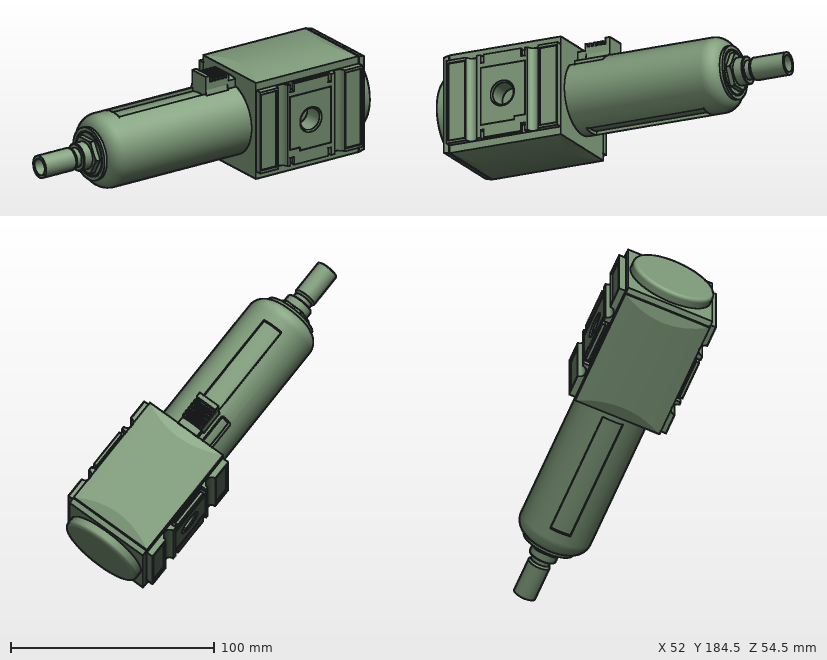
import cadquery as cq
import math


overall_length = 184.5
overall_width = 52.0
overall_height = 54.5

head_length = 61.8
head_width = 45.2
head_side_height = 51.0
crown_height = 54.0
bevel_length = 6.3
plate_thickness = 3.3
cap_diameter = 43.0
cap_length = 5.2
cap_round = 1.8
seam_width = 0.4
seam_depth = 0.2

rail_height = 43.0
rail_front_setback = 0.2
rail_groove_radius = 3.0
rail_groove_places = (13.8, 48.0)
rail_pocket_length = 9.2
rail_pocket_height = 40.2
rail_pocket_depth = 1.0
rail_pocket_margin = 1.0

panel_front = 18.3
panel_back = 42.8
panel_height = 29.7
panel_depth = 0.4
panel_notch_length = 5.9
panel_notch_height = 1.7
clip_depth = 4.0
front_clip_slot_width = 2.2
back_clip_slot_width = 1.7
clip_tab_thickness = 1.7
clip_floor_skin = 0.2
port_diameter = 11.5
port_mouth_diameter = 13.1
port_depth = 11.0

bowl_diameter = 37.8
bowl_length = 83.5
bowl_round = 8.0
collar_diameter = 27.0
collar_end = 84.7
gap_outer_diameter = 23.0
gap_inner_diameter = 22.0
gap_depth = 1.0

recess_depth = 1.8
window_width = 10.7
window_end = 70.1
lower_window_start = 5.4
slot_inner_side = 8.1
slot_length = 18.5
slot_depth = 2.4
slot_corner_radius = 0.7
slot_outer_angle = 45.4

latch_width = 11.6
latch_gap = 0.5
latch_step = 4.6
latch_end = 18.5
latch_root_height = 16.6
latch_step_radius = 23.0
latch_tooth_height = 25.8
latch_floor_radius = 24.9
latch_top = overall_height - crown_height / 2
stop_thickness = 2.5
tooth_count = 5
tooth_pitch = 2.2
tooth_thickness = 1.1
foot_width = 13.3
foot_top = 20.3
foot_bottom = 17.5
foot_start = 5.4

hex_flats = 17.0
hex_end = 87.3
hex_chamfer = 0.5
drain_collar_diameter = 14.0
drain_collar_end = 92.2
drain_collar_chamfer = 0.4
neck_diameter = 9.8
neck_end = 95.0
tube_diameter = 11.5
tube_chamfer = 0.7
tube_chamfer_length = 1.3
tube_bore_diameter = 8.5
tube_end = overall_length - head_length - plate_thickness - cap_length


def box(x_range, y_range, z_range):
    """Box between the given limits."""
    size = [high - low for low, high in (x_range, y_range, z_range)]
    corner = cq.Vector(x_range[0], y_range[0], z_range[0])
    return cq.Workplane(cq.Solid.makeBox(*size, corner))


def rod(diameter, y_start, y_end):
    """Cylinder on the main axis, from y_start to the larger y_end."""
    start = cq.Vector(0, y_start, 0)
    return cq.Workplane(cq.Solid.makeCylinder(diameter / 2, y_end - y_start, start, cq.Vector(0, 1, 0)))


def mirrored_x(shape):
    """The shape together with its mirror image on the other side of the YZ plane."""
    return shape.union(shape.mirror("YZ"))



def crowned_block():
    """Head and back plate: arched top and bottom, bevelled towards both ends."""
    half_width = head_width / 2
    half_side = head_side_height / 2
    half_crown = crown_height / 2
    block_end = head_length + plate_thickness
    arched = (
        cq.Workplane("XZ")
        .moveTo(-half_width, -half_side)
        .threePointArc((0, -half_crown), (half_width, -half_side))
        .lineTo(half_width, half_side)
        .threePointArc((0, half_crown), (-half_width, half_side))
        .close()
        .extrude(-block_end)
    )
    plate_drop = (half_crown - half_side) * plate_thickness / bevel_length
    half_plate = half_side - plate_drop
    bevelled = (
        cq.Workplane("YZ")
        .polyline([
            (0, -half_side),
            (bevel_length, -half_crown),
            (head_length - bevel_length, -half_crown),
            (block_end, -half_plate),
            (block_end, half_plate),
            (head_length - bevel_length, half_crown),
            (bevel_length, half_crown),
            (0, half_side),
        ])
        .close()
        .extrude(half_width, both=True)
    )
    return arched.intersect(bevelled)


def seam_groove(block):
    """Fine groove round the block where the back plate meets the head."""
    y_range = (head_length, head_length + seam_width)
    half_size = crown_height / 2
    slice_box = box((-half_size, half_size), y_range, (-half_size, half_size))
    half_core_width = head_width / 2 - seam_depth
    core = block.intersect(box((-half_core_width, half_core_width), y_range, (-half_size, half_size)))
    core = core.intersect(core.translate((0, 0, seam_depth))).intersect(core.translate((0, 0, -seam_depth)))
    return slice_box.cut(core)


def end_cap():
    """Round cap behind the back plate."""
    start = head_length + plate_thickness
    return rod(cap_diameter, start, start + cap_length).faces(">Y").edges().fillet(cap_round)


def side_rail():
    """Rail slab on the -X side with its grooves, pockets and clip cut-outs."""
    outer = -overall_width / 2
    inner = -head_width / 2
    half_height = rail_height / 2
    rail = box((outer, inner), (rail_front_setback, head_length), (-half_height, half_height))

    for place in rail_groove_places:
        groove = cq.Workplane("XY").center(outer, place).circle(rail_groove_radius)
        rail = rail.cut(groove.extrude(half_height, both=True))

    pocket_starts = (rail_pocket_margin, head_length - rail_pocket_margin - rail_pocket_length)
    for start in pocket_starts:
        rail = rail.cut(box(
            (outer, outer + rail_pocket_depth),
            (start, start + rail_pocket_length),
            (-rail_pocket_height / 2, rail_pocket_height / 2),
        ))

    clip_floor = inner - clip_floor_skin
    front_slot = (panel_front, panel_front + front_clip_slot_width)
    back_slot = (panel_back - back_clip_slot_width, panel_back)
    clip_bottom = half_height - clip_depth
    for z_range in ((clip_bottom, half_height), (-half_height, -clip_bottom)):
        rail = rail.cut(box((outer, clip_floor), front_slot, z_range))
        rail = rail.cut(box((outer, clip_floor), back_slot, z_range))
        behind_tab = (outer + clip_tab_thickness, clip_floor)
        rail = rail.cut(box(behind_tab, (front_slot[1], back_slot[0]), z_range))

    return rail.cut(port_panel(outer))


def port_panel(outer):
    """Shallow rectangular recess round the port, with one corner left standing."""
    half_height = panel_height / 2
    x_range = (outer, outer + panel_depth)
    panel = box(x_range, (panel_front, panel_back), (-half_height, half_height))
    corner = box(
        x_range,
        (panel_front, panel_front + panel_notch_length),
        (-half_height, -half_height + panel_notch_height),
    )
    return panel.cut(corner)


def side_port():
    """Blind port hole on the -X side with a countersunk mouth."""
    panel_floor = -overall_width / 2 + panel_depth
    mouth_depth = (port_mouth_diameter - port_diameter) / 2
    center = cq.Vector(panel_floor, head_length / 2, 0)
    inward = cq.Vector(1, 0, 0)
    bore = cq.Solid.makeCylinder(port_diameter / 2, port_depth, center, inward)
    mouth = cq.Solid.makeCone(port_mouth_diameter / 2, port_diameter / 2, mouth_depth, center, inward)
    return cq.Workplane(bore).union(cq.Workplane(mouth))


def make_head():
    block = crowned_block()
    return (
        block
        .cut(seam_groove(block))
        .union(end_cap())
        .union(mirrored_x(side_rail()))
        .cut(mirrored_x(side_port()))
    )



def bowl_shell():
    """Round bowl with a domed end, an end collar and a narrow ring gap in the collar."""
    shell = rod(bowl_diameter, -bowl_length, 0).faces("<Y").edges().fillet(bowl_round)
    shell = shell.union(rod(collar_diameter, -collar_end, 0))
    gap_end = gap_depth - collar_end
    gap = rod(gap_outer_diameter, -collar_end, gap_end).cut(rod(gap_inner_diameter, -collar_end, gap_end))
    return shell.cut(gap)


def window_recesses():
    """Long recesses with round floors along the top and the bottom of the bowl."""
    half = window_width / 2
    radius = bowl_diameter / 2
    upper = box((-half, half), (-window_end, -latch_end), (0, radius))
    lower = box((-half, half), (-window_end, -lower_window_start), (-radius, 0))
    core = rod(bowl_diameter - 2 * recess_depth, -window_end, 0)
    return upper.union(lower).cut(core)


def locking_slot():
    """Slot on the -X side of the latch, open towards the head, with an upright and a radial wall."""
    reach = bowl_diameter
    tilt = math.radians(slot_outer_angle)
    slot = (
        cq.Workplane("XZ")
        .polyline([
            (-slot_inner_side, slot_inner_side / math.tan(tilt)),
            (-slot_inner_side, reach * math.cos(tilt)),
            (-reach * math.sin(tilt), reach * math.cos(tilt)),
        ])
        .close()
        .extrude(slot_length)
        .faces("<Y")
        .edges()
        .fillet(slot_corner_radius)
    )
    floor = rod(bowl_diameter - 2 * slot_depth, -slot_length, 0)
    return slot.cut(floor)


def latch():
    """Release latch: low front step, ribbed thumb pad, end stop and flared foot."""
    half = latch_width / 2
    x_range = (-half, half)
    stop_start = latch_end - stop_thickness

    def arched_pad(radius, y_range):
        pad = box(x_range, y_range, (latch_root_height, latch_top))
        return pad.intersect(rod(2 * radius, *y_range))

    body = arched_pad(latch_step_radius, (-latch_step, -latch_gap))
    body = body.union(arched_pad(latch_floor_radius, (-stop_start, -latch_step)))
    body = body.union(box(x_range, (-latch_end, -stop_start), (latch_root_height, latch_top)))

    for index in range(tooth_count):
        tooth_start = latch_step + index * tooth_pitch
        y_range = (-tooth_start - tooth_thickness, -tooth_start)
        body = body.union(box(x_range, y_range, (latch_root_height, latch_tooth_height)))

    half_foot = foot_width / 2
    foot = (
        cq.Workplane("XZ", origin=(0, -foot_start, 0))
        .polyline([
            (-half, latch_root_height),
            (-half_foot, foot_bottom),
            (-half, foot_top),
            (half, foot_top),
            (half_foot, foot_bottom),
            (half, latch_root_height),
        ])
        .close()
        .extrude(latch_end - foot_start)
    )
    return body.union(foot)


def drain_fitting():
    """Hexagon, collar, neck and hollow hose tube."""
    corner_diameter = hex_flats / math.cos(math.pi / 6)
    hexagon = (
        cq.Workplane("XZ", origin=(0, -collar_end, 0))
        .polygon(6, corner_diameter)
        .extrude(hex_end - collar_end)
    )
    rounding = rod(corner_diameter, -hex_end, -collar_end).faces("<Y").edges().chamfer(hex_chamfer)
    collar = rod(drain_collar_diameter, -drain_collar_end, -hex_end)
    collar = collar.faces("<Y").edges().chamfer(drain_collar_chamfer)
    neck = rod(neck_diameter, -neck_end, -drain_collar_end)
    tube = rod(tube_diameter, -tube_end, -neck_end)
    tube = tube.faces(">Y").edges().chamfer(tube_chamfer_length, tube_chamfer)
    bore = rod(tube_bore_diameter, -tube_end, -drain_collar_end)
    return hexagon.intersect(rounding).union(collar).union(neck).union(tube).cut(bore)


def make_bowl():
    return (
        bowl_shell()
        .cut(window_recesses())
        .cut(locking_slot())
        .union(latch())
        .union(drain_fitting())
    )


head = make_head()
bowl = make_bowl()

result = cq.Compound.makeCompound([head.val(), bowl.val()])